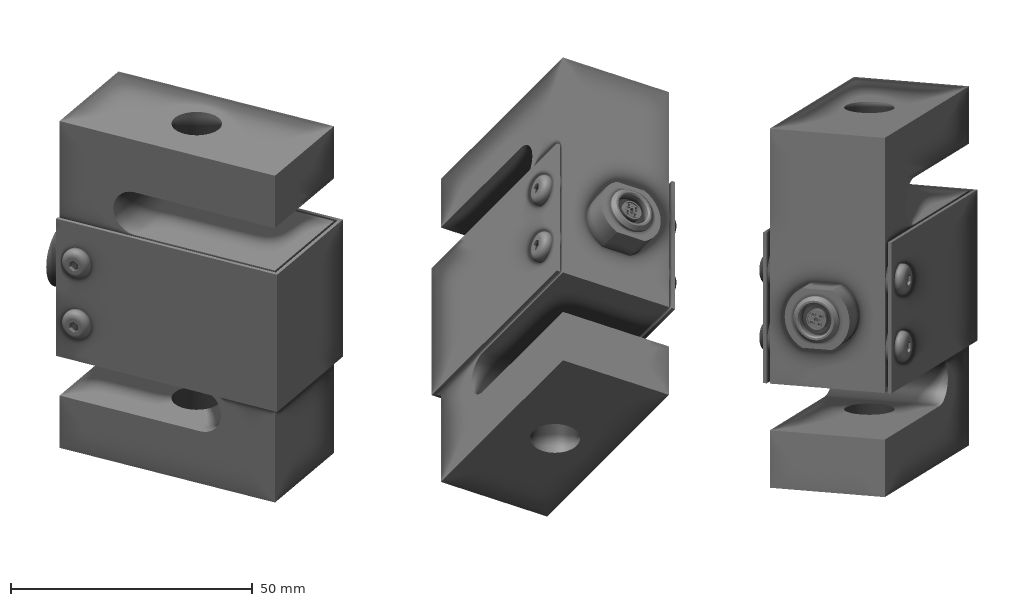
import cadquery as cq
import math

BODY_LENGTH = 50.8
BODY_WIDTH = 25.3
BODY_HEIGHT = 76.2
ARM_THICKNESS = 12.2
SLOT_HEIGHT = 9.9
WEB_THICKNESS = 12.7
MOUNT_HOLE_DIAMETER = 10.45

COVER_SIDE_GAP = 0.7
COVER_END_GAP = 0.5
COVER_THICKNESS = 0.8
COVER_BOTTOM = ARM_THICKNESS + SLOT_HEIGHT
COVER_HEIGHT = BODY_HEIGHT - 2 * COVER_BOTTOM

SCREW_X = 5.2
SCREW_SPACING = 14.25
SPACER_DIAMETER = 9.5
HEAD_DIAMETER = 6.6
HEAD_TOP_DIAMETER = 3.8
HEAD_HEIGHT = 2.0
HEAD_RIM_HEIGHT = 0.45
SOCKET_ACROSS_FLATS = 2.1
SOCKET_SIDES = 6
SOCKET_DEPTH = 1.0

CONNECTOR_DIAMETER = 14.25
CONNECTOR_ACROSS_FLATS = 12.65
CONNECTOR_LENGTH = 6.2
COLLAR_DIAMETER = 9.9
COLLAR_LENGTH = 1.4
COLLAR_CHAMFER = 0.8
BORE_DIAMETER = 6.9
BORE_DEPTH = 2.3
BORE_CHAMFER = 0.3
INSERT_DIAMETER = 4.35
INSERT_SETBACK = 0.8
INSERT_RECESS_DIAMETER = 3.8
INSERT_RECESS_DEPTH = 0.4
CENTER_CONTACT_DIAMETER = 1.3
CENTER_HOLE_DIAMETER = 1.0
RING_CONTACT_DIAMETER = 1.0
RING_HOLE_DIAMETER = 0.71
CONTACT_HOLE_DEPTH = 0.8
CONTACT_CIRCLE_RADIUS = 1.2
RING_CONTACT_COUNT = 4
RING_CONTACT_START_DEGREES = 35

MID_HEIGHT = BODY_HEIGHT / 2


def cylinder_along_x(diameter, x_start, length):
    """Cylinder on the connector axis, running from x_start toward +X."""
    plane = cq.Workplane("YZ", origin=(x_start, 0, MID_HEIGHT))
    return plane.circle(diameter / 2).extrude(length)


def slot(x_open, x_end, z_bottom):
    """Slot across the width, open at x_open and rounded where it stops at x_end."""
    radius = SLOT_HEIGHT / 2
    toward_end = math.copysign(1, x_end - x_open)
    x_tangent = x_end - toward_end * radius
    outline = (
        cq.Workplane("XZ", origin=(0, BODY_WIDTH / 2, 0))
        .moveTo(x_open, z_bottom)
        .lineTo(x_tangent, z_bottom)
        .threePointArc((x_end, z_bottom + radius), (x_tangent, z_bottom + SLOT_HEIGHT))
        .lineTo(x_open, z_bottom + SLOT_HEIGHT)
        .close()
    )
    return outline.extrude(BODY_WIDTH)


def make_body():
    block = cq.Workplane("XY").box(BODY_LENGTH, BODY_WIDTH, BODY_HEIGHT, centered=(False, True, False))
    upper_slot = slot(BODY_LENGTH, WEB_THICKNESS, BODY_HEIGHT - ARM_THICKNESS - SLOT_HEIGHT)
    lower_slot = slot(0, BODY_LENGTH - WEB_THICKNESS, ARM_THICKNESS)
    body = block.cut(upper_slot).cut(lower_slot)
    for arm_bottom in (0, BODY_HEIGHT - ARM_THICKNESS):
        arm_plane = cq.Workplane("XY", origin=(BODY_LENGTH / 2, 0, arm_bottom))
        body = body.cut(arm_plane.circle(MOUNT_HOLE_DIAMETER / 2).extrude(ARM_THICKNESS))
    return body


def make_cover():
    def wrapped_block(side_offset, end_offset):
        """Block reaching past the body on its two sides and its far end."""
        return cq.Workplane("XY", origin=(0, 0, COVER_BOTTOM)).box(
            BODY_LENGTH + end_offset, BODY_WIDTH + 2 * side_offset, COVER_HEIGHT, centered=(False, True, False)
        )

    outside = wrapped_block(COVER_SIDE_GAP + COVER_THICKNESS, COVER_END_GAP + COVER_THICKNESS)
    return outside.cut(wrapped_block(COVER_SIDE_GAP, COVER_END_GAP))


def make_screw():
    """Spacer and button head along +Z, with z = 0 on the side face of the body."""
    spacer = cq.Workplane("XY").circle(SPACER_DIAMETER / 2).extrude(COVER_SIDE_GAP)
    rim_radius = HEAD_DIAMETER / 2
    top_radius = HEAD_TOP_DIAMETER / 2
    dome_height = HEAD_HEIGHT - HEAD_RIM_HEIGHT
    dome_width = rim_radius - top_radius
    diagonal = math.sqrt(0.5)
    head = (
        cq.Workplane("XZ")
        .lineTo(rim_radius, 0)
        .lineTo(rim_radius, HEAD_RIM_HEIGHT)
        .threePointArc(
            (top_radius + dome_width * diagonal, HEAD_RIM_HEIGHT + dome_height * diagonal),
            (top_radius, HEAD_HEIGHT),
        )
        .lineTo(0, HEAD_HEIGHT)
        .close()
        .revolve(360, (0, 0, 0), (0, 1, 0))
    )
    socket = (
        cq.Workplane("XY", origin=(0, 0, HEAD_HEIGHT))
        .polygon(SOCKET_SIDES, SOCKET_ACROSS_FLATS, circumscribed=True)
        .extrude(-SOCKET_DEPTH)
    )
    head = head.cut(socket)
    return spacer.union(head.translate((0, 0, COVER_SIDE_GAP + COVER_THICKNESS)))


def add_screws(part):
    for side in (-1, 1):
        screw = make_screw().rotate((0, 0, 0), (1, 0, 0), -90 * side)
        for z_offset in (-SCREW_SPACING / 2, SCREW_SPACING / 2):
            part = part.union(screw.translate((SCREW_X, side * BODY_WIDTH / 2, MID_HEIGHT + z_offset)))
    return part


def make_connector():
    shell = cylinder_along_x(CONNECTOR_DIAMETER, -CONNECTOR_LENGTH, CONNECTOR_LENGTH)
    flats = cq.Workplane("XY", origin=(-CONNECTOR_LENGTH / 2, 0, MID_HEIGHT)).box(
        CONNECTOR_LENGTH, CONNECTOR_DIAMETER, CONNECTOR_ACROSS_FLATS
    )
    tip_x = -CONNECTOR_LENGTH - COLLAR_LENGTH
    collar = cylinder_along_x(COLLAR_DIAMETER, tip_x, COLLAR_LENGTH)
    collar = collar.faces("<X").edges().chamfer(COLLAR_CHAMFER)
    connector = shell.intersect(flats).union(collar)

    bore = cylinder_along_x(BORE_DIAMETER, tip_x, BORE_DEPTH)
    connector = connector.cut(bore)
    bore_rim = connector.faces("<X").edges(cq.selectors.RadiusNthSelector(0))
    connector = bore_rim.chamfer(BORE_CHAMFER)
    return connector.union(make_contact_insert(tip_x))


def make_contact_insert(tip_x):
    """Post inside the bore with tubular contacts in its recessed face."""
    face_x = tip_x + INSERT_SETBACK
    insert = cylinder_along_x(INSERT_DIAMETER, face_x, BORE_DEPTH - INSERT_SETBACK)
    insert = insert.cut(cylinder_along_x(INSERT_RECESS_DIAMETER, face_x, INSERT_RECESS_DEPTH))

    contacts = [(CENTER_CONTACT_DIAMETER, CENTER_HOLE_DIAMETER, 0, 0)]
    for index in range(RING_CONTACT_COUNT):
        angle = math.radians(RING_CONTACT_START_DEGREES + 360 * index / RING_CONTACT_COUNT)
        y_offset = -CONTACT_CIRCLE_RADIUS * math.cos(angle)
        z_offset = CONTACT_CIRCLE_RADIUS * math.sin(angle)
        contacts.append((RING_CONTACT_DIAMETER, RING_HOLE_DIAMETER, y_offset, z_offset))

    for diameter, hole_diameter, y_offset, z_offset in contacts:
        tube = cylinder_along_x(diameter, face_x, INSERT_RECESS_DEPTH)
        hole = cylinder_along_x(hole_diameter, face_x, CONTACT_HOLE_DEPTH)
        insert = insert.union(tube.translate((0, y_offset, z_offset)))
        insert = insert.cut(hole.translate((0, y_offset, z_offset)))
    return insert


result = add_screws(make_body().union(make_cover())).union(make_connector())